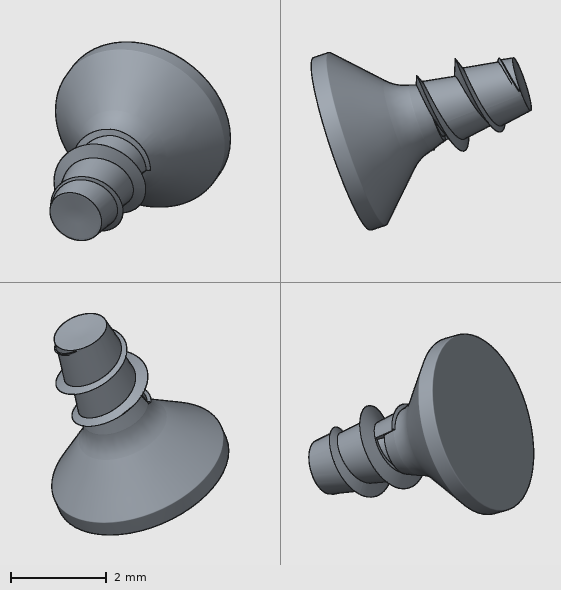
import cadquery as cq
import math

length = 4
head_radius = 1.9
rim_depth = 0.35
rim_round = 0.025
cone_end_depth = 1.28
neck_end_depth = 1.765
taper = math.radians(10)
lead_end_depth = 2.08
lead_end_radius = 0.615
core_radius = 0.52
strip_inner_radius = 0.4
tip_radius = 0.58
dimple_radius = 0.535
dimple_depth = 0.04

pitch = 0.88
crest_start_depth = 1.79
crest_start_radius = 0.83
crest_peak_radius = 0.995
runin_turns = 0.25
runin_lead = 0.08
head_flank_base = 0.04
head_flank_spread = 0.25
tip_flank_base = 0.015
tip_flank_spread = 0.3
foot_radius = 0.71
floor_radius = 0.6
floor_slope = 0.165
piece_turns = 0.25
piece_samples = 4

last_turn = (length - crest_start_depth) / pitch


def crest(turn):
    """Depth and radius of the thread crest after a number of turns from +Z."""
    depth = crest_start_depth + pitch * max(turn, 0) + runin_lead * min(turn, 0)
    rise = crest_peak_radius - crest_start_radius
    if turn <= 1:
        return depth, crest_start_radius + rise * turn
    fall = crest_peak_radius - tip_radius
    return depth, crest_peak_radius - fall * (turn - 1) / (last_turn - 1)


def tip_cone_radius(depth):
    """Cone through the tip edge that limits the last turn."""
    return tip_radius + floor_slope * (length - depth)


def head_foot(turn):
    """Foot of the flank facing the head; the flank is wider on a taller thread."""
    crest_depth, crest_radius = crest(turn)
    depth = crest_depth - head_flank_base - head_flank_spread * (crest_radius - floor_radius)
    return depth, min(floor_radius, tip_cone_radius(depth))


def tip_foot(turn):
    """Foot of the flank facing the tip."""
    crest_depth, crest_radius = crest(turn)
    height = max(crest_radius - foot_radius, 0)
    depth = crest_depth + tip_flank_base + tip_flank_spread * height
    return depth, min(foot_radius, tip_cone_radius(depth))


def thread_section(turn):
    """One pitch of thread and groove, as (depth, radius) corners."""
    start = head_foot(turn)
    end = head_foot(turn + 1)
    return [
        (start[0], strip_inner_radius),
        start,
        crest(turn),
        tip_foot(turn),
        end,
        (end[0], strip_inner_radius),
    ]


def helical_point(turn, depth, radius):
    angle = 2 * math.pi * turn
    return cq.Vector(-radius * math.sin(angle), -depth, radius * math.cos(angle))


def thread_piece(first, last):
    """Solid swept by the thread section between two turns, with ruled sides."""
    turns = [first + (last - first) * i / piece_samples for i in range(piece_samples + 1)]
    rings = [[helical_point(t, *corner) for corner in thread_section(t)] for t in turns]
    edges = [cq.Edge.makeSpline(list(track)) for track in zip(*rings)]
    faces = [cq.Face.makeRuledSurface(edges[i - 1], edges[i]) for i in range(len(edges))]
    for ring in (rings[0], rings[-1]):
        faces.append(cq.Face.makeFromWires(cq.Wire.makePolygon(ring, close=True)))
    return cq.Solid.makeSolid(cq.Shell.makeShell(faces))


def make_thread():
    """Thread and groove pieces from the run-in to the tip."""
    first = -runin_turns
    count = math.ceil((last_turn - first) / piece_turns)
    starts = [first + piece_turns * i for i in range(count)]
    return [thread_piece(start, start + piece_turns) for start in starts]


def revolve(profile):
    return profile.close().revolve(360, (0, 0, 0), (0, 1, 0))


def make_body():
    """Head, rounded neck, tapered lead and core, turned about Y."""
    cone_end_radius = head_radius - (cone_end_depth - rim_depth)
    head_angle = math.radians(45)
    neck_round = (cone_end_depth - neck_end_depth) / (math.sin(taper) - math.sin(head_angle))
    center_radius = cone_end_radius + neck_round * math.cos(head_angle)
    center_depth = cone_end_depth + neck_round * math.sin(head_angle)

    def neck_point(angle):
        return (
            center_radius - neck_round * math.cos(angle),
            -center_depth + neck_round * math.sin(angle),
        )

    profile = (
        cq.Workplane("XY")
        .lineTo(head_radius, 0)
        .lineTo(head_radius, -rim_depth)
        .lineTo(cone_end_radius, -cone_end_depth)
        .threePointArc(neck_point((head_angle + taper) / 2), neck_point(taper))
        .lineTo(lead_end_radius, -lead_end_depth)
        .lineTo(core_radius, -lead_end_depth)
        .lineTo(core_radius, -length)
        .lineTo(0, -length)
    )
    rim_edges = cq.selectors.BoxSelector(
        (-length, -rim_depth - rim_round, -length), (length, rim_round, length), boundingbox=True
    )
    return revolve(profile).edges(rim_edges).edges("%CIRCLE").fillet(rim_round)


def make_tip_trim():
    """Everything beyond the tip plane."""
    return cq.Workplane("XY").box(length, length, length).translate((0, -1.5 * length, 0))


def make_dimple():
    """Shallow conical hollow in the tip face."""
    profile = (
        cq.Workplane("XY")
        .moveTo(0, -length)
        .lineTo(dimple_radius, -length)
        .lineTo(0, dimple_depth - length)
    )
    return revolve(profile)


body = cq.Workplane(make_body().val().fuse(*make_thread()))
result = body.cut(make_tip_trim()).cut(make_dimple())